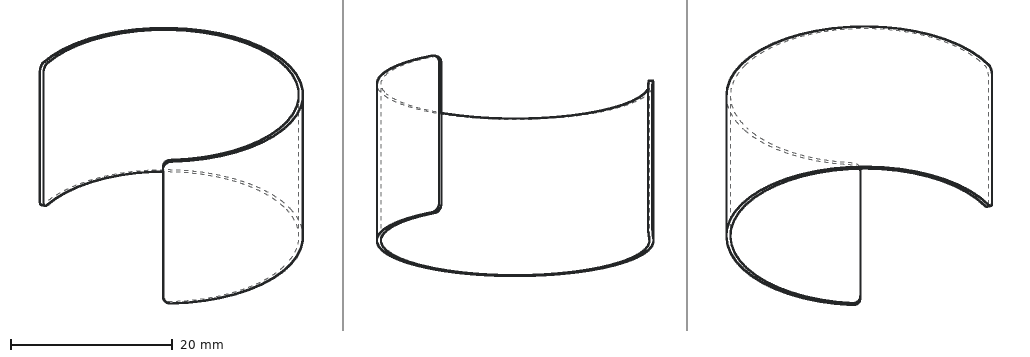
import cadquery as cq
import math

outer_diameter = 34.2
wall = 0.5
height = 20.0
end_drop = 9.2
corner_radius = 1.0

outer_radius = outer_diameter / 2
inner_radius = outer_radius - wall
end_angle = math.asin(end_drop / outer_radius)


def point_at(radius, angle):
    """Point in the XY plane at the given radius and angle from +X."""
    return (radius * math.cos(angle), radius * math.sin(angle))


def band():
    """C-shaped band whose two ends are cut along radial lines."""
    right_end = -end_angle
    left_end = math.pi + end_angle
    top = math.pi / 2
    return (
        cq.Workplane("XY")
        .moveTo(*point_at(outer_radius, right_end))
        .threePointArc(point_at(outer_radius, top), point_at(outer_radius, left_end))
        .lineTo(*point_at(inner_radius, left_end))
        .threePointArc(point_at(inner_radius, top), point_at(inner_radius, right_end))
        .close()
        .extrude(height)
    )


def round_gap_corners(body):
    """Round the short straight edges where the ends meet the top and bottom rims."""
    gap_corners = body.edges("%LINE and #Z")
    return gap_corners.fillet(corner_radius)


result = round_gap_corners(band())